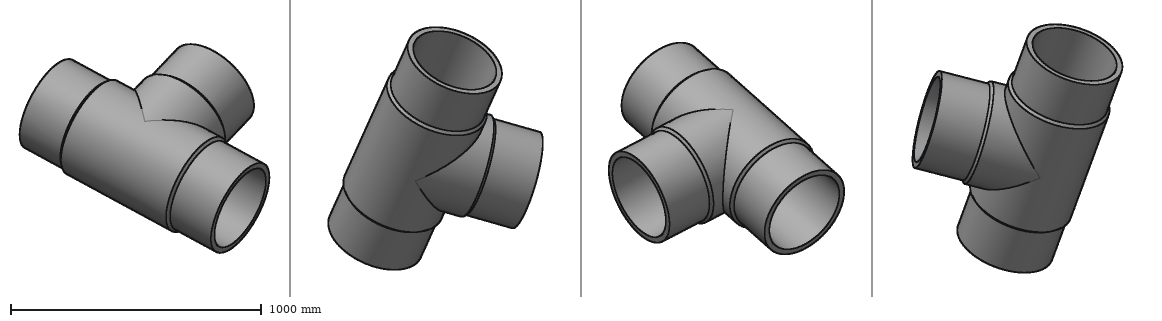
import cadquery as cq

run_length = 940.0
branch_reach = run_length / 2
pipe_diameter = 400.0
body_diameter = 424.0
bore_diameter = 352.0
spigot_length = 200.0

half_run = run_length / 2
pipe_radius = pipe_diameter / 2
body_radius = body_diameter / 2
bore_radius = bore_diameter / 2
chamfer = body_radius - pipe_radius


def outer_arm(reach):
    """Solid arm along +X from the origin: thick body, bevel, then spigot."""
    bevel_end = reach - spigot_length
    return (
        cq.Workplane("XY")
        .moveTo(0, 0)
        .lineTo(0, body_radius)
        .lineTo(bevel_end - chamfer, body_radius)
        .lineTo(bevel_end, pipe_radius)
        .lineTo(reach, pipe_radius)
        .lineTo(reach, 0)
        .close()
        .revolve(360, (0, 0, 0), (1, 0, 0))
    )


def turn_about_z(shape, angle):
    return shape.rotate((0, 0, 0), (0, 0, 1), angle)


right_arm = outer_arm(half_run)
left_arm = turn_about_z(outer_arm(half_run), 180)
branch_arm = turn_about_z(outer_arm(branch_reach), 90)
outer = right_arm.union(left_arm).union(branch_arm).clean()

run_bore = cq.Workplane("YZ").circle(bore_radius).extrude(half_run, both=True)
branch_bore = cq.Workplane("XZ").circle(bore_radius).extrude(-branch_reach)

result = outer.cut(run_bore).cut(branch_bore)